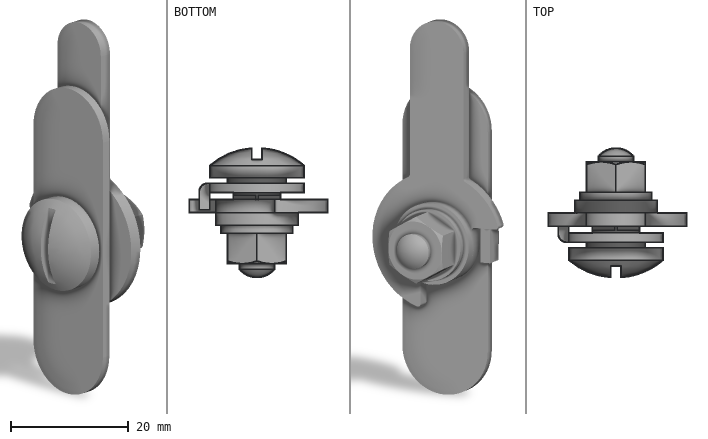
import cadquery as cq
import math


overall_height = 65

plate_width = 16.0
plate_length = 53.95
plate_thickness = 1.6
tab_width = 6.0
tab_reach = 1.8
tab_end_y = 4.55
tab_bend_radius = 1.5

cam_front_y = 2.7
cam_thickness = 2.3
cam_disc_radius = 12.0
cam_arm_width = 10.0
cam_arm_top_z = overall_height - plate_length / 2
cam_corner_radius = 0.5
hub_radius = 7.0
stop_offset = tab_width / 2

head_radius = plate_width / 2
head_rim_thickness = 2.1
head_dome_height = 3.0
slot_width = 1.7
slot_depth = 1.95
neck_radius = 5.0
neck_length = 0.9
shank_radius = 4.0
square_width = 6.0
square_turn = 45
square_start_y = 2.0
thread_radius = 3.0
tip_cylinder_length = 0.9
tip_dome_height = 1.4

spacer_step_thickness = 2.15
spacer_end_radius = 6.1
spacer_end_thickness = 1.35

nut_width = 10.0
nut_hex_height = 5.15
nut_chamfer_angle = 30
hexagon_turn = 30

cam_back_y = cam_front_y + cam_thickness
spacer_step_y = cam_back_y + spacer_step_thickness
spacer_back_y = spacer_step_y + spacer_end_thickness
nut_back_y = spacer_back_y + nut_hex_height
thread_end_y = nut_back_y + tip_cylinder_length
tip_y = thread_end_y + tip_dome_height
head_back_y = -neck_length
head_rim_y = head_back_y - head_rim_thickness
head_top_y = head_rim_y - head_dome_height


def section_at(y):
    """Sketch plane across the screw axis, with local x = X and local y = Z; negative extrusion goes to +Y."""
    return cq.Workplane(cq.Plane(origin=(0, y, 0), xDir=(1, 0, 0), normal=(0, -1, 0)))


def cylinder(radius, start_y, end_y):
    return section_at(start_y).circle(radius).extrude(start_y - end_y)


def square_shank(start_y, end_y):
    """Square bar with its corners pointing along X and Z, rounded off to the shank diameter."""
    square = (
        section_at(start_y)
        .transformed(rotate=(0, 0, square_turn))
        .rect(square_width, square_width)
        .extrude(start_y - end_y)
    )
    return square.intersect(cylinder(shank_radius, start_y, end_y))


def spherical_cap(base_radius, base_y, top_y):
    """Shallow dome on the screw axis."""
    sphere_radius = (base_radius**2 + (top_y - base_y) ** 2) / (2 * abs(top_y - base_y))
    center_y = top_y - math.copysign(sphere_radius, top_y - base_y)
    half_angle = math.asin(base_radius / sphere_radius) / 2
    mid_point = (
        sphere_radius * math.sin(half_angle),
        center_y + math.copysign(sphere_radius * math.cos(half_angle), top_y - base_y),
    )
    return (
        cq.Workplane("XY")
        .moveTo(0, base_y)
        .lineTo(base_radius, base_y)
        .threePointArc(mid_point, (0, top_y))
        .close()
        .revolve(360, (0, 0, 0), (0, 1, 0))
    )


def make_screw():
    head = cylinder(head_radius, head_rim_y, head_back_y)
    head = head.union(spherical_cap(head_radius, head_rim_y, head_top_y))
    slot = cq.Workplane("XY").box(slot_width, slot_depth, 2 * head_radius).translate(
        (0, head_top_y + slot_depth / 2, 0)
    )
    neck = cylinder(neck_radius, head_back_y, 0)
    round_shank = cylinder(shank_radius, 0, square_start_y)
    drive = square_shank(square_start_y, cam_back_y)
    thread = cylinder(thread_radius, cam_back_y, thread_end_y)
    tip = spherical_cap(thread_radius, thread_end_y, tip_y)
    return head.cut(slot).union(neck).union(round_shank).union(drive).union(thread).union(tip)


def make_plate():
    blade = section_at(0).slot2D(plate_length, plate_width, 90).extrude(-plate_thickness)
    tab_outer_x = -plate_width / 2 - tab_reach
    tab = (
        cq.Workplane("XY")
        .moveTo(-plate_width / 2, 0)
        .lineTo(tab_outer_x + tab_bend_radius, 0)
        .radiusArc((tab_outer_x, tab_bend_radius), tab_bend_radius)
        .lineTo(tab_outer_x, tab_end_y)
        .lineTo(-plate_width / 2, tab_end_y)
        .close()
        .extrude(tab_width / 2, both=True)
    )
    return blade.union(tab).cut(cylinder(shank_radius, 0, plate_thickness))


def cam_corners():
    """Corners of the cam outline, all lying within the height of the disc."""
    return cq.selectors.BoxSelector(
        (-cam_disc_radius, cam_front_y, -cam_disc_radius),
        (cam_arm_width, cam_back_y, cam_disc_radius),
    )


def make_cam():
    disc = cylinder(cam_disc_radius, cam_front_y, cam_back_y)
    arm_straight_top = cam_arm_top_z - cam_arm_width / 2
    arm = (
        section_at(cam_front_y)
        .moveTo(-cam_arm_width / 2, 0)
        .lineTo(-cam_arm_width / 2, arm_straight_top)
        .threePointArc((0, cam_arm_top_z), (cam_arm_width / 2, arm_straight_top))
        .lineTo(cam_arm_width / 2, 0)
        .close()
        .extrude(-cam_thickness)
    )
    notch_size = 2 * cam_disc_radius
    notch = (
        section_at(cam_front_y)
        .moveTo(stop_offset, stop_offset)
        .lineTo(-notch_size, stop_offset)
        .lineTo(-notch_size, -notch_size)
        .lineTo(stop_offset, -notch_size)
        .close()
        .extrude(-cam_thickness)
        .cut(cylinder(hub_radius, cam_front_y, cam_back_y))
    )
    cam = disc.union(arm).cut(notch)
    cam = cam.edges("|Y").edges(cam_corners()).fillet(cam_corner_radius)
    return cam.cut(square_shank(cam_front_y, cam_back_y))


def make_spacer():
    step = cylinder(hub_radius, cam_back_y, spacer_step_y)
    end = cylinder(spacer_end_radius, spacer_step_y, spacer_back_y)
    return step.union(end).cut(cylinder(thread_radius, cam_back_y, spacer_back_y))


def make_nut():
    corner_radius = nut_width / math.sqrt(3)
    hexagon = (
        section_at(spacer_back_y)
        .transformed(rotate=(0, 0, hexagon_turn))
        .polygon(6, 2 * corner_radius)
        .extrude(-nut_hex_height)
    )
    chamfer_height = (corner_radius - nut_width / 2) * math.tan(math.radians(nut_chamfer_angle))
    chamfer_envelope = (
        cq.Workplane("XY")
        .moveTo(0, spacer_back_y)
        .lineTo(corner_radius, spacer_back_y)
        .lineTo(corner_radius, nut_back_y - chamfer_height)
        .lineTo(nut_width / 2, nut_back_y)
        .lineTo(0, nut_back_y)
        .close()
        .revolve(360, (0, 0, 0), (0, 1, 0))
    )
    return hexagon.intersect(chamfer_envelope).cut(cylinder(thread_radius, spacer_back_y, nut_back_y))


screw = make_screw()
plate = make_plate()
cam = make_cam()
spacer = make_spacer()
nut = make_nut()

result = cq.Compound.makeCompound([screw.val(), plate.val(), cam.val(), spacer.val(), nut.val()])